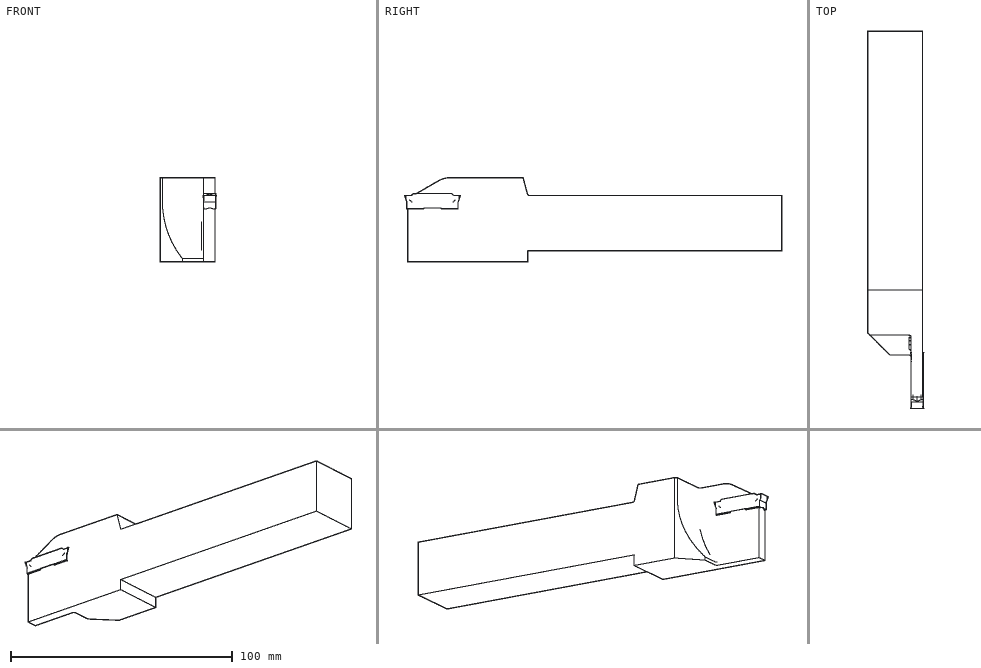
import cadquery as cq
import math


body_width = 24.8
total_length = 170.06
shank_height = 25.0
head_top = 8.0
head_bottom = -30.0
shoulder_y = 55.6
shoulder_slope = math.radians(15)
shoulder_fillet = 0.6

blade_width = 5.2
blade_left = body_width - blade_width
blade_front = 1.4
nose_slope = math.radians(30)
nose_radius = 10.0
nose_start = 20.4
nose_floor_z = -1.0

corner_chamfer = 10.0
wall_front = 24.1
wall_rise = 9.0
wall_upper = wall_front + wall_rise
wall_arc_top = head_top - 10.7
wall_arc_bottom = head_bottom + 1.5
wall_fillet = 1.0

insert_length = 25.2
edge_width = 6.0
insert_core_width = 5.6
edge_overhang = 0.5
insert_center_x = body_width + edge_overhang - edge_width / 2
insert_top = 0.8
land_length = 3.0
land_ramp = 1.0
tip_relief_y = 0.6
tip_relief_z = -1.9
heel_y = 1.0
heel_z = -2.9
insert_bottom = -6.2
bottom_relief = 0.5
bottom_relief_length = 8.2
bottom_relief_ramp = 0.3
groove_width = 3.6
groove_depth = 0.6
flare_length = 0.6
flare_depth = 1.0
relief_back = 3.35
relief_bottom = -3.05
relief_ramp = 1.0
relief_depth = 0.25
side_chamfer = 0.4

core_half = insert_core_width / 2
edge_half = edge_width / 2


def side_profile(points, width, left):
    """Extrude a closed (y, z) outline along +X from x = left."""
    return cq.Workplane("YZ", origin=(left, 0, 0)).polyline(points).close().extrude(width)


def head_and_shank():
    """Full-width body of shank, stepped head and sloped nose."""
    arc_half = nose_slope / 2
    arc_mid_y = nose_start - nose_radius * math.sin(arc_half)
    arc_mid_z = head_top - nose_radius * (1 - math.cos(arc_half))
    arc_end_y = nose_start - nose_radius * math.sin(nose_slope)
    arc_end_z = head_top - nose_radius * (1 - math.cos(nose_slope))
    nose_end_y = arc_end_y - (arc_end_z - insert_top) / math.tan(nose_slope)
    shoulder_top_y = shoulder_y - head_top * math.tan(shoulder_slope)
    body = (
        cq.Workplane("YZ")
        .moveTo(total_length, 0)
        .lineTo(shoulder_y, 0)
        .lineTo(shoulder_top_y, head_top)
        .lineTo(nose_start, head_top)
        .threePointArc((arc_mid_y, arc_mid_z), (arc_end_y, arc_end_z))
        .lineTo(nose_end_y, insert_top)
        .lineTo(nose_end_y, nose_floor_z)
        .lineTo(blade_front, nose_floor_z)
        .lineTo(blade_front, head_bottom)
        .lineTo(shoulder_y, head_bottom)
        .lineTo(shoulder_y, -shank_height)
        .lineTo(total_length, -shank_height)
        .close()
        .extrude(body_width)
    )
    shoulder_root = cq.selectors.NearestToPointSelector((body_width / 2, shoulder_y, 0))
    return body.edges(shoulder_root).fillet(shoulder_fillet)


def side_clearance():
    """Space left of the blade, ending in a curved wall with a rounded root at the blade."""
    drop = wall_arc_top - wall_arc_bottom
    radius = (wall_rise**2 + drop**2) / (2 * wall_rise)
    half_angle = math.asin(drop / radius) / 2
    arc_mid = (
        wall_upper - radius * (1 - math.cos(half_angle)),
        wall_arc_top - radius * math.sin(half_angle),
    )
    clearance = (
        cq.Workplane("YZ")
        .moveTo(wall_upper, head_top)
        .lineTo(wall_upper, wall_arc_top)
        .threePointArc(arc_mid, (wall_front, wall_arc_bottom))
        .lineTo(wall_front, head_bottom)
        .lineTo(0, head_bottom)
        .lineTo(0, head_top)
        .close()
        .extrude(blade_left)
    )
    wall_root = cq.selectors.BoxSelector(
        (blade_left - wall_fillet / 2, wall_front - wall_fillet / 2, head_bottom - 1),
        (blade_left + wall_fillet / 2, wall_upper + wall_fillet / 2, head_top + 1),
    )
    return clearance.faces(">X").edges(wall_root).fillet(wall_fillet)


def corner_cut():
    """45 degree cut on the outer vertical corner of the head."""
    corner_back = wall_front + corner_chamfer
    return (
        cq.Workplane("XY", origin=(0, 0, head_bottom))
        .polyline([(0, corner_back), (corner_chamfer, wall_front), (0, wall_front)])
        .close()
        .extrude(head_top - head_bottom)
    )


def mirrored_end(points):
    """Points of the insert's far end, mirrored about its middle, in reverse order."""
    return [(insert_length - y, z) for y, z in reversed(points)]


def v_groove(base_z, apex_z):
    """Triangular prism along the whole insert, from its flat base to its apex."""
    half = groove_width / 2
    return (
        cq.Workplane("XZ", origin=(insert_center_x, 0, 0))
        .polyline([(-half, base_z), (half, base_z), (0, apex_z)])
        .close()
        .extrude(-insert_length)
    )


def insert_core(width):
    """Double-ended insert outline with V grooves in top and bottom."""
    relief_start = (insert_length - bottom_relief_length) / 2
    near_end = [
        (relief_start + bottom_relief_ramp, insert_bottom + bottom_relief),
        (relief_start, insert_bottom),
        (heel_y, insert_bottom),
        (heel_y, heel_z),
        (tip_relief_y, tip_relief_z),
        (0, 0),
        (land_length, 0),
        (land_length + land_ramp, insert_top),
    ]
    outline = near_end + mirrored_end(near_end)
    core = side_profile(outline, width, insert_center_x - width / 2)
    top_groove = v_groove(insert_top, insert_top - groove_depth)
    bottom_groove = v_groove(insert_bottom, insert_bottom + groove_depth)
    return core.cut(top_groove).cut(bottom_groove)


def cutting_edge_flares():
    """Wedges that widen the core to full width at the near cutting edge."""
    plan = [
        (-edge_half, 0),
        (edge_half, 0),
        (core_half, flare_length),
        (-core_half, flare_length),
    ]
    wedge = (
        cq.Workplane("XY", origin=(insert_center_x, 0, -flare_depth))
        .polyline(plan)
        .close()
        .extrude(flare_depth)
    )
    return wedge.intersect(insert_core(edge_width))


def side_relief():
    """Relief with sloping walls in the right side of the insert, at the near end."""
    outer = [
        (flare_length, insert_top),
        (relief_back, insert_top),
        (relief_back, relief_bottom),
        (flare_length, relief_bottom),
    ]
    inner = [
        (flare_length, insert_top),
        (relief_back - relief_ramp, insert_top),
        (relief_back - relief_ramp, relief_bottom + relief_ramp),
        (flare_length, relief_bottom + relief_ramp),
    ]
    return (
        cq.Workplane("YZ", origin=(insert_center_x + core_half, 0, 0))
        .polyline(outer)
        .close()
        .workplane(offset=-relief_depth)
        .polyline(inner)
        .close()
        .loft(ruled=True)
    )


def lower_edge_chamfer():
    """Triangular strip along the right lower edge of the insert."""
    return (
        cq.Workplane("XZ", origin=(insert_center_x + core_half, 0, insert_bottom))
        .polyline([(0, 0), (-side_chamfer, 0), (0, side_chamfer)])
        .close()
        .extrude(-insert_length)
    )


def mirror_across(body, plane):
    """Copy of a body mirrored about the middle of the insert."""
    return body.mirror(plane, (insert_center_x, insert_length / 2, 0))


def make_insert():
    """Grooving insert with two cutting edges."""
    near_flare = cutting_edge_flares()
    body = insert_core(insert_core_width).union(near_flare).union(mirror_across(near_flare, "XZ"))
    near_relief = side_relief()
    for relief in (near_relief, mirror_across(near_relief, "XZ"), lower_edge_chamfer()):
        body = body.cut(relief).cut(mirror_across(relief, "YZ"))
    return body


def make_holder():
    """Tool holder with a seat that matches the insert outline and grooves."""
    body = head_and_shank().cut(side_clearance()).cut(corner_cut())
    return body.cut(insert_core(edge_width))


holder = make_holder()
insert = make_insert()
result = cq.Compound.makeCompound([holder.val(), insert.val()])